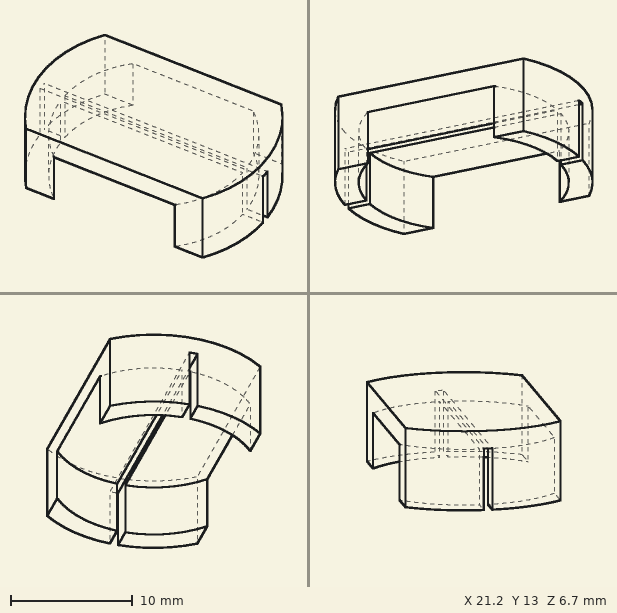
import cadquery as cq

outer_diameter = 21.2
width_across_flats = 13.0
height = 6.7
roof_thickness = 2.0
inner_diameter = 17.3
slot_width = 0.7
slot_roof_thickness = 1.5

cavity_depth = height - roof_thickness
slot_depth = height - slot_roof_thickness


def make_body():
    """Round disc trimmed to two parallel flats facing -Y and +Y."""
    disc = cq.Workplane("XY").circle(outer_diameter / 2).extrude(height)
    flats = cq.Workplane("XY").box(
        outer_diameter, width_across_flats, height, centered=(True, True, False)
    )
    return disc.intersect(flats)


def make_cavity():
    """Round recess from below that breaks out through both flats."""
    return cq.Workplane("XY").circle(inner_diameter / 2).extrude(cavity_depth)


def make_slot():
    """Narrow slot along X through both curved walls, grooving the cavity roof."""
    return cq.Workplane("XY").box(
        outer_diameter, slot_width, slot_depth, centered=(True, True, False)
    )


result = make_body().cut(make_cavity()).cut(make_slot())